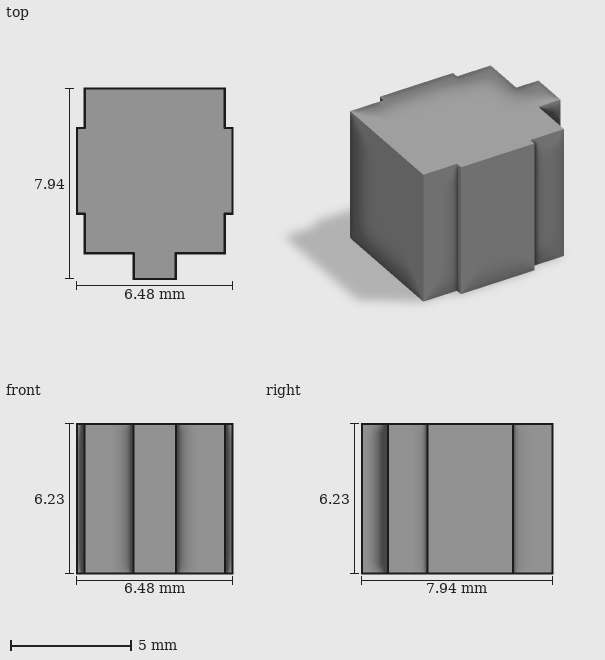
import cadquery as cq

height = 6.23
overall_length = 7.94
overall_width = 6.48
body_width = 5.84
tab_width = 1.76
tab_length = 1.08
side_pad_length = 3.57

body_length = overall_length - tab_length


def block(width, length, center_y):
    """Full-height block centred on X and standing on the XY plane."""
    return (
        cq.Workplane("XY")
        .center(0, center_y)
        .rect(width, length)
        .extrude(height)
    )


body = block(body_width, body_length, 0)

side_pads = block(overall_width, side_pad_length, 0)

tab_reach = body_length / 2 + tab_length
tab = block(tab_width, tab_reach, -tab_reach / 2)

result = body.union(side_pads).union(tab).clean()